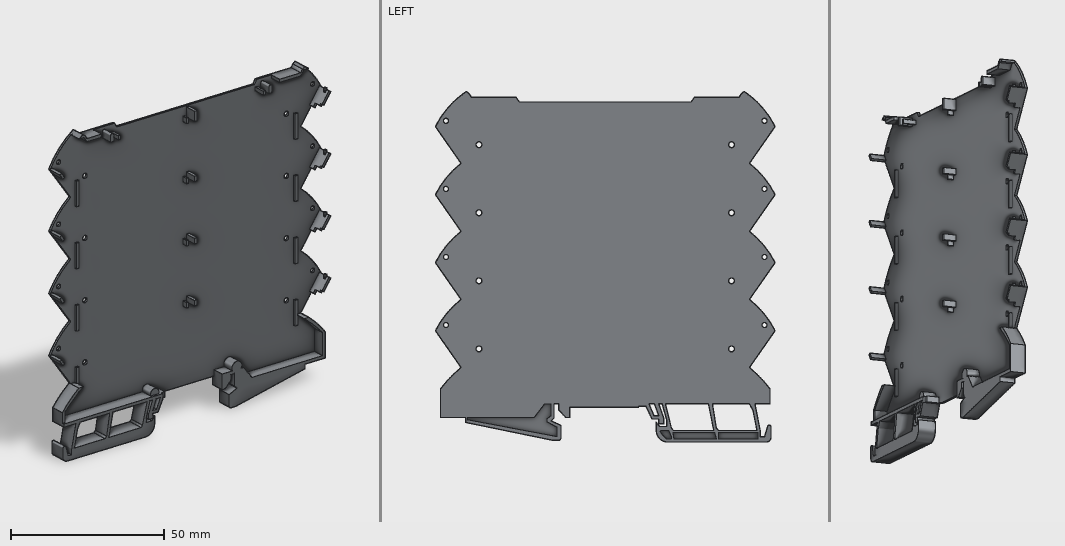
import cadquery as cq
import math


HEIGHT = 114.3
WIDTH = 110.8
DEPTH = 6.1
WALL_DEPTH = 5.3
PLATE_THICKNESS = 0.86
HALF_WIDTH = WIDTH / 2
WALL = 1.1

TOOTH_COUNT = 4
TOOTH_PITCH = 22.2
TOP_TIP_Z = 102.9
TOOTH_RADIUS = 30.9
ARC_CENTRE_DROP = 14.1
VALLEY_RISE = 10.2
INNER_ARC_RADIUS = TOOTH_RADIUS - WALL
PEAK_RISE = HEIGHT - TOP_TIP_Z
ARC_CENTRE_Y = HALF_WIDTH - math.sqrt(TOOTH_RADIUS**2 - ARC_CENTRE_DROP**2)
TIP_HEIGHTS = [TOP_TIP_Z - i * TOOTH_PITCH for i in range(TOOTH_COUNT)]
BASE_TIP_Z = TOP_TIP_Z - TOOTH_COUNT * TOOTH_PITCH

SHOULDER_Z = 112.5
TOP_EDGE_Z = 110.9
SHOULDER_OUTER_Y = 43.7
SHOULDER_INNER_Y = 29.0
TOP_EDGE_Y = 28.0
PEAK_KNEE = (44.4, 113.6)

BASE_HALF_WIDTH = 53.7
BASE_Z = 12.5
SKIRT_Z = 8.0
RAIL_EDGE_Z = 11.3
SKIRT_END_Y = 23.2
SKIRT_ROOT_Y = 19.8
HOOK_END_Y = 11.5
LATCH_Y = -13.3
LATCH_Z = 11.7
LATCH_ROOT_Y = -13.7
BASE_CORNER_RISE = 3.2
BASE_ARC_MIDDLE_RISE = (VALLEY_RISE + BASE_CORNER_RISE) / 2

CLIP_RECESS_DEPTH = 2.1
POCKET_DEPTH = 2.6


def arc_y(rise, radius=TOOTH_RADIUS):
    """Half width of a tooth arc (or one concentric with it) at a height above the tip."""
    return ARC_CENTRE_Y + math.sqrt(radius**2 - (ARC_CENTRE_DROP + rise) ** 2)


def arc_point(tip, rise, radius=TOOTH_RADIUS):
    return (arc_y(rise, radius), tip + rise)


def prism(points, x_end, x_start=0.0):
    """Straight-sided solid from a YZ outline, between two X positions."""
    sketch = cq.Workplane("YZ").workplane(offset=x_start).polyline(points).close()
    return sketch.extrude(x_end - x_start)


def block(y_low, y_high, z_low, z_high, x_end, x_start=0.0):
    corners = [(y_low, z_low), (y_high, z_low), (y_high, z_high), (y_low, z_high)]
    return prism(corners, x_end, x_start)


def both_sides(solid):
    """Solid and its mirror image across the y = 0 plane."""
    return solid.union(solid.mirror("XZ"))


def half_plate():
    """+Y half of the plate above the base line."""
    edge = cq.Workplane("YZ").moveTo(0, BASE_Z).lineTo(0, TOP_EDGE_Z).lineTo(TOP_EDGE_Y, TOP_EDGE_Z)
    edge = edge.lineTo(SHOULDER_INNER_Y, SHOULDER_Z).lineTo(SHOULDER_OUTER_Y, SHOULDER_Z).lineTo(*PEAK_KNEE)
    rise = PEAK_RISE
    for tip in TIP_HEIGHTS:
        edge = edge.lineTo(*arc_point(tip, rise))
        edge = edge.threePointArc(arc_point(tip, rise / 2), (HALF_WIDTH, tip))
        rise = VALLEY_RISE
    base_corner = (BASE_HALF_WIDTH, BASE_TIP_Z + BASE_CORNER_RISE)
    edge = edge.lineTo(*arc_point(BASE_TIP_Z, VALLEY_RISE))
    edge = edge.threePointArc(arc_point(BASE_TIP_Z, BASE_ARC_MIDDLE_RISE), base_corner)
    return edge.lineTo(BASE_HALF_WIDTH, BASE_Z).close().extrude(PLATE_THICKNESS)


SKIRT = [
    (BASE_HALF_WIDTH, BASE_Z),
    (BASE_HALF_WIDTH, SKIRT_Z),
    (SKIRT_END_Y, SKIRT_Z),
    (SKIRT_ROOT_Y, BASE_Z),
]
RAIL_HOOK = [(15.2, BASE_Z), (15.2, 10.5), (12.8, SKIRT_Z), (HOOK_END_Y, SKIRT_Z), (HOOK_END_Y, BASE_Z)]
RAIL_STRIP = [
    (HOOK_END_Y, BASE_Z),
    (HOOK_END_Y, RAIL_EDGE_Z),
    (-10.9, RAIL_EDGE_Z),
    (-10.9, LATCH_Z),
    (LATCH_Y, LATCH_Z),
    (LATCH_ROOT_Y, BASE_Z),
]


def plate():
    body = both_sides(half_plate())
    body = body.union(prism(SKIRT, PLATE_THICKNESS))
    return body.union(prism(RAIL_STRIP, PLATE_THICKNESS)).union(prism(RAIL_HOOK, WALL_DEPTH))


def base_end_wall(bottom):
    """Wall following the lowest tooth arc and the upright base side, on the +Y side."""
    corner_z = BASE_TIP_Z + BASE_CORNER_RISE
    inner_y = BASE_HALF_WIDTH - WALL
    wall = cq.Workplane("YZ").moveTo(*arc_point(BASE_TIP_Z, VALLEY_RISE))
    wall = wall.threePointArc(arc_point(BASE_TIP_Z, BASE_ARC_MIDDLE_RISE), (BASE_HALF_WIDTH, corner_z))
    wall = wall.lineTo(BASE_HALF_WIDTH, bottom).lineTo(inner_y, bottom).lineTo(inner_y, corner_z)
    wall = wall.threePointArc(
        arc_point(BASE_TIP_Z, BASE_ARC_MIDDLE_RISE, INNER_ARC_RADIUS),
        arc_point(BASE_TIP_Z, VALLEY_RISE, INNER_ARC_RADIUS),
    )
    return wall.close().extrude(WALL_DEPTH)


SKIRT_FLOOR = [
    (BASE_HALF_WIDTH, SKIRT_Z),
    (SKIRT_END_Y, SKIRT_Z),
    (SKIRT_ROOT_Y, BASE_Z),
    (HOOK_END_Y, BASE_Z),
    (HOOK_END_Y, BASE_Z + WALL),
    (SKIRT_ROOT_Y + WALL / 2, BASE_Z + WALL),
    (SKIRT_END_Y + WALL / 2, SKIRT_Z + WALL),
    (BASE_HALF_WIDTH, SKIRT_Z + WALL),
]
LATCH_STEP = [
    (-11.9, BASE_Z + WALL),
    (-11.9, LATCH_Z),
    (LATCH_Y, LATCH_Z),
    (LATCH_ROOT_Y, BASE_Z),
    (LATCH_ROOT_Y, BASE_Z + WALL),
]


def floor_boss(y, radius):
    """Rounded boss resting tangent on the base line."""
    centre = cq.Workplane("YZ").center(y, BASE_Z + radius)
    return centre.circle(radius).extrude(WALL_DEPTH)


def base_walls():
    walls = base_end_wall(SKIRT_Z).union(base_end_wall(BASE_Z).mirror("XZ"))
    walls = walls.union(prism(SKIRT_FLOOR, WALL_DEPTH)).union(prism(LATCH_STEP, WALL_DEPTH))
    walls = walls.union(block(-BASE_HALF_WIDTH, LATCH_Y, BASE_Z, BASE_Z + WALL, DEPTH))
    return walls.union(floor_boss(17.6, 2.1)).union(floor_boss(-16.0, 1.7))


def shoulder_wall(inner_y):
    """Wall under the raised shoulder, curling over the peak and a little way down the arc."""
    end_rise = 10.3
    middle_rise = (PEAK_RISE + end_rise) / 2
    wall = cq.Workplane("YZ").moveTo(inner_y, SHOULDER_Z).lineTo(SHOULDER_OUTER_Y, SHOULDER_Z)
    wall = wall.lineTo(*PEAK_KNEE).lineTo(*arc_point(TOP_TIP_Z, PEAK_RISE))
    wall = wall.threePointArc(arc_point(TOP_TIP_Z, middle_rise), arc_point(TOP_TIP_Z, end_rise))
    wall = wall.lineTo(*arc_point(TOP_TIP_Z, end_rise, INNER_ARC_RADIUS))
    wall = wall.lineTo(SHOULDER_OUTER_Y, SHOULDER_Z - WALL).lineTo(inner_y, SHOULDER_Z - WALL)
    return wall.close().extrude(WALL_DEPTH)


PRONG_CENTRE_Z = 110.8
PRONG_RADIUS = 0.7
PRONG_BOTTOM_Z = 108.6
SHORT_RIB_TOP_Z = 110.0
SHORT_RIB_WIDTH = 0.9


def prong_pair(prong_y, rib_y):
    """Round-topped prong and a shorter flat rib, given their centre positions."""
    low, high = prong_y - PRONG_RADIUS, prong_y + PRONG_RADIUS
    prong = block(low, high, PRONG_BOTTOM_Z, PRONG_CENTRE_Z, WALL_DEPTH)
    tip = cq.Workplane("YZ").center(prong_y, PRONG_CENTRE_Z).circle(PRONG_RADIUS).extrude(WALL_DEPTH)
    rib_low, rib_high = rib_y - SHORT_RIB_WIDTH / 2, rib_y + SHORT_RIB_WIDTH / 2
    return prong.union(tip).union(block(rib_low, rib_high, PRONG_BOTTOM_Z, SHORT_RIB_TOP_Z, WALL_DEPTH))


def top_walls():
    walls = shoulder_wall(35.0).union(shoulder_wall(37.7).mirror("XZ"))
    return walls.union(prong_pair(31.3, 28.8)).union(prong_pair(-33.4, -30.4))


SLOPE_LENGTH = math.hypot(HALF_WIDTH - arc_y(VALLEY_RISE), TOOTH_PITCH - VALLEY_RISE)
SLOPE_Y = (arc_y(VALLEY_RISE) - HALF_WIDTH) / SLOPE_LENGTH
SLOPE_Z = (VALLEY_RISE - TOOTH_PITCH) / SLOPE_LENGTH

TAB_THICKNESS = 0.9


def tip_tab(tip, length, x_end):
    """Tab of the +Y side running down the sloping lower edge from the tooth tip."""

    def point(along, inward):
        return (HALF_WIDTH + along * SLOPE_Y + inward * SLOPE_Z, tip + along * SLOPE_Z - inward * SLOPE_Y)

    outer_edge = [point(0, 0), point(length, 0)]
    inner_edge = [point(length, TAB_THICKNESS), point(0, TAB_THICKNESS)]
    return prism(outer_edge + inner_edge, x_end)


LONG_TAB_STEPS = [(5.0, DEPTH), (5.7, WALL_DEPTH), (7.1, 2.9)]
SHORT_TAB_LENGTH = 2.2
LUG_X = (4.0, 4.8)
LUG_Y = (54.0, 54.6)
LUG_RISES = (-0.6, 1.1)


def tooth_details(tip):
    """Short tab on the -Y side, long stepped tab with a raised lug on the +Y side."""
    details = tip_tab(tip, SHORT_TAB_LENGTH, DEPTH).mirror("XZ")
    for length, depth in LONG_TAB_STEPS:
        details = details.union(tip_tab(tip, length, depth))
    lug_low, lug_high = (tip + rise for rise in LUG_RISES)
    return details.union(block(*LUG_Y, lug_low, lug_high, LUG_X[1], LUG_X[0]))


EDGE_RIB_Y = (44.1, 45.3)
EDGE_RIB_DROPS = (15.7, 6.5)
EDGE_RIB_DEPTH = 1.6


def edge_ribs(tip):
    """Low upright ribs just inside the valley below a tooth."""
    lower_drop, upper_drop = EDGE_RIB_DROPS
    return both_sides(block(*EDGE_RIB_Y, tip - lower_drop, tip - upper_drop, EDGE_RIB_DEPTH))


LATCH_RIB_Y = (0.2, 1.4)
LATCH_PIN_Y = (-1.1, -0.5)
LATCH_PIN_DEPTH = 2.9
LATCH_PIN_OFFSETS = (-1.3, 0.7)
LATCH_RISES = (4.6, 6.5)
TOP_LATCH_Z = (106.8, 110.4)


def centre_latch(z_low, z_high):
    """Latch rib at mid width with a shorter pin beside its lower end."""
    pin_low, pin_high = (z_low + offset for offset in LATCH_PIN_OFFSETS)
    pin = block(*LATCH_PIN_Y, pin_low, pin_high, LATCH_PIN_DEPTH)
    return block(*LATCH_RIB_Y, z_low, z_high, WALL_DEPTH).union(pin)


TIP_HOLE = (51.9, 1.8)
INNER_HOLE = (41.2, -6.0)
TIP_HOLE_DIAMETER = 1.6
INNER_HOLE_DIAMETER = 1.8


def tooth_holes():
    def drill(place, diameter):
        y, rise = place
        points = [(side * y, tip + rise) for tip in TIP_HEIGHTS for side in (-1, 1)]
        return cq.Workplane("YZ").pushPoints(points).circle(diameter / 2).extrude(PLATE_THICKNESS)

    return drill(TIP_HOLE, TIP_HOLE_DIAMETER).union(drill(INNER_HOLE, INNER_HOLE_DIAMETER))


CLIP_OUTLINE = [
    (45.5, SKIRT_Z),
    (45.5, 6.4),
    (17.0, 0.6),
    (15.0, 0.6),
    (14.4, 1.1),
    (14.4, 5.5),
    (17.6, 7.0),
    (16.7, 7.9),
    (16.7, BASE_Z),
    (SKIRT_ROOT_Y, BASE_Z),
    (SKIRT_END_Y, SKIRT_Z),
]
CLIP_RECESS = [
    (44.8, SKIRT_Z),
    (44.8, 7.3),
    (15.8, 1.8),
    (15.8, 4.9),
    (19.0, 6.6),
    (19.0, 7.7),
    (17.7, 8.6),
    (17.7, BASE_Z),
    (SKIRT_ROOT_Y, BASE_Z),
    (SKIRT_END_Y, SKIRT_Z),
]


def spring_clip():
    return prism(CLIP_OUTLINE, WALL_DEPTH).cut(prism(CLIP_RECESS, CLIP_RECESS_DEPTH))


FOOT_TOP_Z = 3.9
LEG_OUTLINES = [
    [(-18.5, BASE_Z), (-20.0, 7.2), (-20.0, FOOT_TOP_Z), (-22.2, FOOT_TOP_Z), (-21.6, 4.6), (-19.7, BASE_Z)],
    [(-33.6, BASE_Z), (-35.3, FOOT_TOP_Z), (-36.9, FOOT_TOP_Z), (-36.2, 4.6), (-35.0, BASE_Z)],
    [(-47.0, BASE_Z), (-48.1, 10.3), (-49.4, FOOT_TOP_Z), (-50.5, FOOT_TOP_Z), (-48.8, BASE_Z)],
]
FOOT_POCKETS = [
    [(-17.8, 3.5), (-18.5, 2.5), (-20.0, 1.0), (-21.5, 1.0), (-21.6, 1.7), (-20.7, 3.8), (-18.3, 3.9)],
    [(-22.1, 3.1), (-35.7, 3.1), (-36.2, 1.0), (-22.4, 1.0)],
    [(-36.9, 3.1), (-49.7, 3.1), (-49.7, 1.0), (-36.9, 1.0)],
]
LATCH_RIBS = [
    [
        (LATCH_Y, BASE_Z),
        (LATCH_Y, LATCH_Z),
        (-15.2, 7.5),
        (-17.4, 7.5),
        (-17.4, 8.7),
        (-15.9, 8.7),
        (-14.3, BASE_Z),
    ],
    [(-16.0, BASE_Z), (-17.4, 8.7), (-17.4, 6.0), (-19.1, 6.0), (-19.1, 7.9), (-17.5, BASE_Z)],
]


def rail_foot():
    nose_y = -16.6
    nose_radius = 3.9
    nose_depth = nose_radius * (1 - math.sqrt(0.5))
    toe_y = -54.1
    toe_radius = 1.7
    toe_depth = toe_radius * (1 - math.sqrt(0.5))
    toe_top_z = 4.9
    toe_tip_z = 5.6
    toe_inner_y = -52.8
    gap_floor_z = 1.8
    heel_slot_z = 5.1
    leg_outer_y = -50.5
    leg_inner_y = -20.0
    foot = cq.Workplane("YZ").moveTo(nose_y, 6.5).lineTo(nose_y, nose_radius)
    foot = foot.threePointArc((nose_y - nose_depth, nose_depth), (nose_y - nose_radius, 0))
    foot = foot.lineTo(toe_y + toe_radius, 0)
    foot = foot.threePointArc((toe_y + toe_depth, toe_depth), (toe_y, toe_radius)).lineTo(toe_y, toe_top_z)
    foot = foot.threePointArc(((toe_y + toe_inner_y) / 2, toe_tip_z), (toe_inner_y, toe_top_z))
    foot = foot.lineTo(-51.9, gap_floor_z).lineTo(leg_outer_y, gap_floor_z).lineTo(leg_outer_y, FOOT_TOP_Z)
    foot = foot.lineTo(leg_inner_y, FOOT_TOP_Z).lineTo(leg_inner_y, heel_slot_z).lineTo(-17.7, heel_slot_z)
    foot = foot.close().extrude(DEPTH)
    for outline in LEG_OUTLINES + LATCH_RIBS:
        foot = foot.union(prism(outline, DEPTH))
    for pocket in FOOT_POCKETS:
        foot = foot.cut(prism(pocket, POCKET_DEPTH))
    return foot


result = plate().union(base_walls()).union(top_walls()).union(spring_clip()).union(rail_foot())
for tip in TIP_HEIGHTS:
    result = result.union(tooth_details(tip)).union(edge_ribs(tip))
for tip in TIP_HEIGHTS[1:]:
    result = result.union(centre_latch(*(tip + rise for rise in LATCH_RISES)))
result = result.union(centre_latch(*TOP_LATCH_Z))
result = result.cut(tooth_holes())